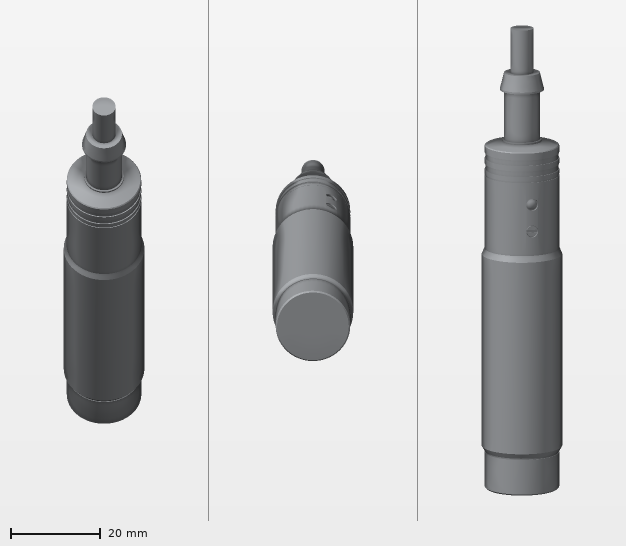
import cadquery as cq

total_height = 105.1

cable_radius = 5.1 / 2

neck_radius = 8.0 / 2
barb_radius = 9.8 / 2
barb_top = 95.0
barb_edge_top = 91.4
barb_edge_bottom = 91.0

shoulder_inner_radius = 8.8 / 2
shoulder_outer_radius = 16.2 / 2
shoulder_rim = 79.8
shoulder_top = 79.4
shoulder_bottom = 78.5
cap_radius = 16.6 / 2
cap_edge_bevel = 0.2
groove_radius = 16.2 / 2
groove_width = 1.3
groove_bottoms = (75.5, 72.9)
joint_radius = 16.4 / 2
joint_bottom = 71.6
joint_width = 0.3

barrel_radius = 16.7 / 2
grip_radius = 18.0 / 2
grip_cone_top = 54.9
grip_top = 53.5
grip_bottom = 9.7
grip_cone_bottom = 8.5
relief_radius = 16.2 / 2
relief_bottom = 8.2
base_radius = 16.6 / 2
base_chamfer = 0.3

well_radius = 2.7 / 2
well_depth = 0.5
button_radius = 2.4 / 2
lens_height = 66.5
lens_rise = 0.4
screw_height = 60.4
screw_rise = 0.3
slot_width = 0.6
slot_depth = 0.3
well_floor = -barrel_radius + well_depth


def ring_cutter(radius, bottom, width):
    """Ring that turns the cap down to the given radius."""
    return (
        cq.Workplane("XY", origin=(0, 0, bottom))
        .circle(grip_radius)
        .circle(radius)
        .extrude(width)
    )


def make_turned_housing():
    """Revolved housing, from its base up to the top of the hose barb."""
    profile = [
        (0, 0),
        (base_radius - base_chamfer, 0),
        (base_radius, base_chamfer),
        (base_radius, relief_bottom),
        (relief_radius, relief_bottom),
        (relief_radius, grip_cone_bottom),
        (base_radius, grip_cone_bottom),
        (grip_radius, grip_bottom),
        (grip_radius, grip_top),
        (barrel_radius, grip_cone_top),
        (barrel_radius, joint_bottom),
        (cap_radius, joint_bottom),
        (cap_radius, shoulder_bottom - cap_edge_bevel),
        (shoulder_outer_radius, shoulder_bottom),
        (shoulder_inner_radius, shoulder_top),
        (shoulder_inner_radius, shoulder_rim),
        (neck_radius, shoulder_rim),
        (neck_radius, barb_edge_bottom),
        (barb_radius, barb_edge_bottom),
        (barb_radius, barb_edge_top),
        (neck_radius, barb_top),
        (0, barb_top),
    ]
    turned = cq.Workplane("XZ").polyline(profile).close().revolve(360, (0, 0), (0, 1))
    for bottom in groove_bottoms:
        turned = turned.cut(ring_cutter(groove_radius, bottom, groove_width))
    return turned.cut(ring_cutter(joint_radius, joint_bottom, joint_width))


def make_well(height):
    """Round flat-bottomed recess cut inward from the -X side."""
    return (
        cq.Workplane("YZ", origin=(-grip_radius, 0, height))
        .circle(well_radius)
        .extrude(well_floor + grip_radius)
    )


def make_lens():
    """Domed lens standing on the floor of its well."""
    sphere_radius = (button_radius**2 + lens_rise**2) / (2 * lens_rise)
    sphere_centre = well_floor - lens_rise + sphere_radius
    sphere = cq.Workplane("XY").sphere(sphere_radius).translate((sphere_centre, 0, lens_height))
    lens_space = (
        cq.Workplane("YZ", origin=(well_floor, 0, lens_height))
        .rect(2 * well_radius, 2 * well_radius)
        .extrude(-lens_rise)
    )
    return sphere.intersect(lens_space)


def make_screw():
    """Slotted screw head standing on the floor of its well."""
    head = (
        cq.Workplane("YZ", origin=(well_floor, 0, screw_height))
        .circle(button_radius)
        .extrude(-screw_rise)
    )
    slot_centre = well_floor - screw_rise + slot_depth / 2
    slot = cq.Workplane("XY").box(slot_depth, 2 * button_radius, slot_width)
    return head.cut(slot.translate((slot_centre, 0, screw_height)))


def make_housing():
    """Housing with the lens and the screw head in their wells."""
    body = make_turned_housing()
    for height in (lens_height, screw_height):
        body = body.cut(make_well(height))
    return body.union(make_lens()).union(make_screw())


def make_cable():
    """Round cable standing on the end face of the hose barb."""
    return (
        cq.Workplane("XY", origin=(0, 0, barb_top))
        .circle(cable_radius)
        .extrude(total_height - barb_top)
    )


housing = make_housing()
cable = make_cable()
result = cq.Compound.makeCompound([housing.val(), cable.val()])